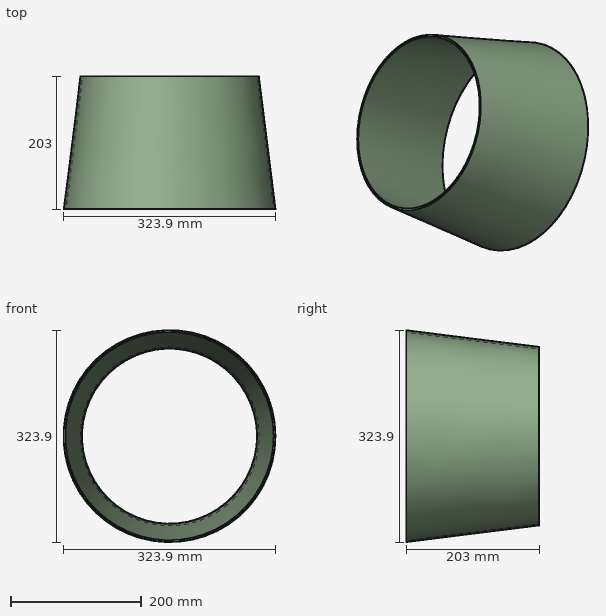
import cadquery as cq

LARGE_DIAMETER = 323.9
SMALL_DIAMETER = 273.0
LENGTH = 203.0
WALL = 3.0

large_radius = LARGE_DIAMETER / 2
small_radius = SMALL_DIAMETER / 2


def make_reducer():
    """Revolve the sloping wall section about Y, with the large end at Y = 0."""
    wall_section = [
        (large_radius - WALL, 0),
        (large_radius, 0),
        (small_radius, LENGTH),
        (small_radius - WALL, LENGTH),
    ]
    return (
        cq.Workplane("XY")
        .polyline(wall_section)
        .close()
        .revolve(360, (0, 0, 0), (0, 1, 0))
    )


result = make_reducer()